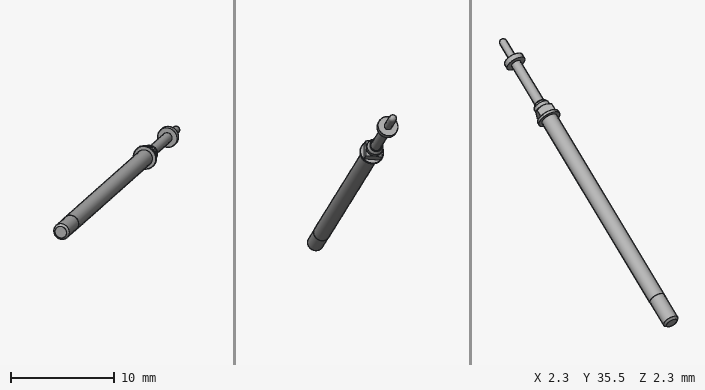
import cadquery as cq
import math

length = 35.5
tip_flange_start = 2.5
tip_flange_end = 3.0
shoulder_start = 8.0
neck_start = 8.3
square_start = 8.7
collar_start = 9.7
collar_end = 9.98
tail_start = 32.45

tip_diameter = 0.75
tip_round = 0.35
tip_flange_diameter = 2.0
stem_diameter = 1.0
shoulder_diameter = 1.2
neck_diameter = 1.6
barrel_diameter = 1.65
tail_diameter = 1.6
collar_diameter = 2.3
tail_chamfer = 0.2

square_side = neck_diameter
square_lead_in = 0.25
corner_diameter = square_side * math.sqrt(2)


def frustum(start, end, start_diameter, end_diameter):
    """Solid of revolution about Y between two stations, tapering if the diameters differ."""
    outline = [
        (-start, 0),
        (-start, start_diameter / 2),
        (-end, end_diameter / 2),
        (-end, 0),
    ]
    return cq.Workplane("YZ").polyline(outline).close().revolve(360, (0, 0), (1, 0))


def cylinder(start, end, diameter):
    return frustum(start, end, diameter, diameter)


def square_section():
    """Square shank whose corners run out into the round neck through a cone."""
    block_length = collar_start - square_start
    block = cq.Workplane("XY").box(square_side, block_length, square_side)
    block = block.translate((0, -(square_start + collar_start) / 2, 0))
    cone_end = square_start + square_lead_in
    envelope = frustum(square_start, cone_end, square_side, corner_diameter)
    envelope = envelope.union(cylinder(cone_end, collar_start, collar_diameter))
    return block.intersect(envelope)


tail_end_diameter = tail_diameter - 2 * tail_chamfer
tail_chamfer_start = length - tail_chamfer

pin = cylinder(0, tip_flange_start, tip_diameter).faces(">Y").edges().fillet(tip_round)
pin = pin.union(cylinder(tip_flange_start, tip_flange_end, tip_flange_diameter))
pin = pin.union(cylinder(tip_flange_end, shoulder_start, stem_diameter))
pin = pin.union(frustum(shoulder_start, neck_start, shoulder_diameter, neck_diameter))
pin = pin.union(cylinder(neck_start, square_start, neck_diameter))
pin = pin.union(square_section())
pin = pin.union(cylinder(collar_start, collar_end, collar_diameter))
pin = pin.union(cylinder(collar_end, tail_start, barrel_diameter))
pin = pin.union(cylinder(tail_start, tail_chamfer_start, tail_diameter))
pin = pin.union(frustum(tail_chamfer_start, length, tail_diameter, tail_end_diameter))

result = pin.translate((0, length / 2, 0))